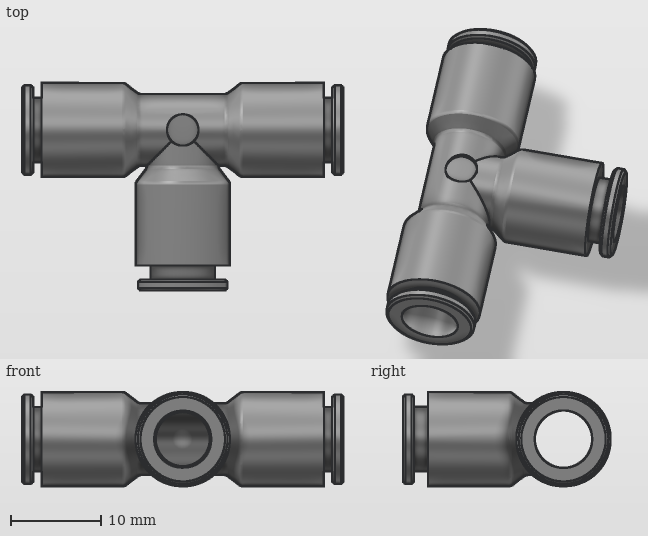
import cadquery as cq

reach = 17.85
core_diameter = 8.0
body_diameter = 10.5
neck_diameter = 7.2
collar_diameter = 9.95
bore_diameter = 6.35
branch_passage_diameter = 6.0
collar_width = 1.25
collar_chamfer = 0.3
shoulder_blend = 0.65

run_shoulder_start = 4.85
run_body_end = 15.68
branch_shoulder_start = 4.2
branch_body_end = 15.07
shoulder_length = 1.65
station_tolerance = 0.05
branch_socket_floor = branch_shoulder_start + shoulder_length

badge_diameter = 3.5
badge_floor = 3.57


def make_arm(shoulder_start, body_end):
    """Revolve one tube connection around the Z axis, starting at the tee centre."""
    core_radius = core_diameter / 2
    body_radius = body_diameter / 2
    shoulder_end = shoulder_start + shoulder_length
    outer = (
        cq.Workplane("XZ")
        .moveTo(0, 0)
        .lineTo(core_radius, 0)
        .lineTo(core_radius, shoulder_start)
        .lineTo(body_radius, shoulder_end)
        .lineTo(body_radius, body_end)
        .lineTo(0, body_end)
        .close()
        .revolve(360, (0, 0, 0), (0, 1, 0))
    )
    for station in (shoulder_start, shoulder_end):
        ring = cq.selectors.BoxSelector(
            (-body_diameter, -body_diameter, station - station_tolerance),
            (body_diameter, body_diameter, station + station_tolerance),
            boundingbox=True,
        )
        outer = outer.edges(ring).fillet(shoulder_blend)

    neck = cq.Workplane("XY").circle(neck_diameter / 2).extrude(reach)
    collar = (
        cq.Workplane("XY", origin=(0, 0, reach - collar_width))
        .circle(collar_diameter / 2)
        .extrude(collar_width)
        .edges()
        .chamfer(collar_chamfer)
    )
    return outer.union(neck).union(collar)


run_arm = make_arm(run_shoulder_start, run_body_end)
branch_arm = make_arm(branch_shoulder_start, branch_body_end)
right_arm = run_arm.rotate((0, 0, 0), (0, 1, 0), 90)
left_arm = right_arm.rotate((0, 0, 0), (0, 0, 1), 180)
branch = branch_arm.rotate((0, 0, 0), (1, 0, 0), 90)
body = right_arm.union(left_arm).union(branch)

run_bore = cq.Workplane("YZ", origin=(-reach, 0, 0)).circle(bore_diameter / 2).extrude(2 * reach)
branch_passage = cq.Workplane("XZ").circle(branch_passage_diameter / 2).extrude(reach)
branch_socket = (
    cq.Workplane("XZ", origin=(0, -branch_socket_floor, 0))
    .circle(bore_diameter / 2)
    .extrude(reach - branch_socket_floor)
)
badge = (
    cq.Workplane("XY", origin=(0, 0, badge_floor))
    .circle(badge_diameter / 2)
    .extrude(core_diameter / 2)
)

result = body.cut(run_bore).cut(branch_passage).cut(branch_socket).cut(badge)